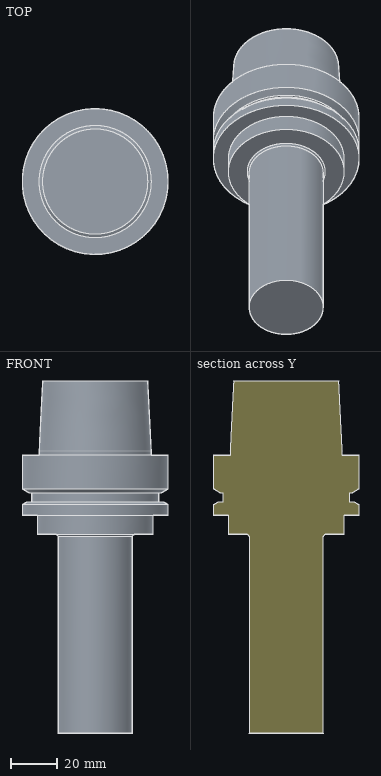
import cadquery as cq

taper_top_z = 32.0
collar_height = 1.8
flange_bottom_z = -26.0
boss_bottom_z = -34.25
shank_bottom_z = -120.0

collar_diameter = 48.43
taper_ratio = 1 / 10
taper_top_diameter = collar_diameter - taper_ratio * (taper_top_z - collar_height)
flange_diameter = 63.0
groove_diameter = 55.0
boss_diameter = 50.0
shank_diameter = 32.0

groove_top_z = -16.4
groove_bottom_z = -20.15
upper_bevel_height = 1.8
upper_bevel_width = 3.0
lower_bevel_height = 1.25
lower_bevel_width = 2.1

shank_cone_height = 0.8
shank_cone_width = 0.8

taper_top_radius = taper_top_diameter / 2
collar_radius = collar_diameter / 2
flange_radius = flange_diameter / 2
groove_radius = groove_diameter / 2
boss_radius = boss_diameter / 2
shank_radius = shank_diameter / 2


def upper_section(profile):
    """Taper and the short cylindrical collar at its foot."""
    return (
        profile.lineTo(taper_top_radius, taper_top_z)
        .lineTo(collar_radius, collar_height)
        .lineTo(collar_radius, 0)
    )


def flange_section(profile):
    """Flange with a bevelled groove around its rim."""
    return (
        profile.lineTo(flange_radius, 0)
        .lineTo(flange_radius, groove_top_z + upper_bevel_height)
        .lineTo(flange_radius - upper_bevel_width, groove_top_z)
        .lineTo(groove_radius, groove_top_z)
        .lineTo(groove_radius, groove_bottom_z)
        .lineTo(flange_radius - lower_bevel_width, groove_bottom_z)
        .lineTo(flange_radius, groove_bottom_z - lower_bevel_height)
        .lineTo(flange_radius, flange_bottom_z)
    )


def lower_section(profile):
    """Boss below the flange, the small conical step and the shank."""
    return (
        profile.lineTo(boss_radius, flange_bottom_z)
        .lineTo(boss_radius, boss_bottom_z)
        .lineTo(shank_radius + shank_cone_width, boss_bottom_z)
        .lineTo(shank_radius, boss_bottom_z - shank_cone_height)
        .lineTo(shank_radius, shank_bottom_z)
        .lineTo(0, shank_bottom_z)
    )


half_section = cq.Workplane("XZ").moveTo(0, taper_top_z)
half_section = upper_section(half_section)
half_section = flange_section(half_section)
half_section = lower_section(half_section).close()

result = half_section.revolve(360, (0, 0, 0), (0, 1, 0))